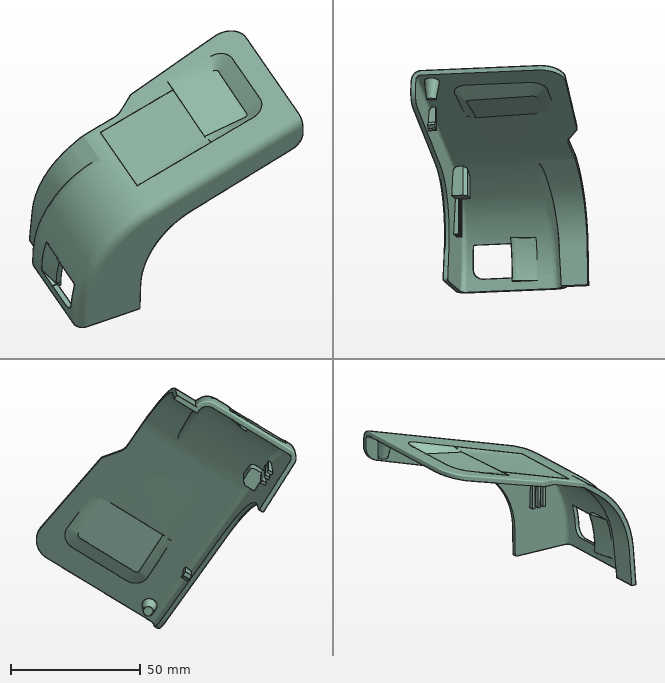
import cadquery as cq
import math

LENGTH = 98.8
WIDTH = 62.6
CREST_Z = 69.2
THICKNESS = 2.0
BACKING_DROP = 1.9
MARGIN = 19.8

SLOPE = math.radians(17.3)
BEND_RADIUS = 44.5
BACK_Y = LENGTH + MARGIN

WALL_DRAFT = math.radians(3.0)
WALL_FILLET = 4.0
RIDGE_FOOT_X = 18.1
RIDGE_DRAFT = math.radians(2.3)
RIDGE_FILLET = 5.9
PANEL_REACH_X = 44.5

PANEL_Y = 6.1
PANEL_Z = 15.5
PANEL_TILT = math.radians(4.4)
PANEL_END_TILT = math.radians(56.0)
PANEL_RADIUS = 36.7

EDGE_START = (9.6, -MARGIN)
EDGE_NECK = (9.6, 43.2)
EDGE_FLARE = (4.0, 51.3)
EDGE_BACK = (-1.0, LENGTH)
NECK_FILLET = 5.9
FLARE_FILLET = 1.5
BACK_CORNER_FILLET = 8.7
EDGE_ROUND = 0.5

WALL_FRONT_Y = 27.0
WALL_KNEE = (28.7, 34.4)
WALL_BACK = (LENGTH, 56.9)
WALL_KNEE_FILLET = 32.6
WALL_BACK_FILLET = 7.4
WALL_FOOT_FILLET = 0.8

POCKET_LEFT = 8.1
POCKET_RIGHT = 45.5
POCKET_BACK_Y = 89.9
POCKET_CORNER = 6.4
POCKET_WALL_RUN = 4.8
POCKET_TAIL_Y = 65.2
POCKET_END_Y = 33.9
FLOOR_BACK_Y = 84.0
FLOOR_CORNER = 1.5
FLOOR_DEPTH_LEFT = 2.8
FLOOR_DEPTH_RIGHT = 3.5
TAIL_DEPTH_LEFT = 0.1
TAIL_STEP = 0.05
TAIL_OVERLAP = 0.4
CUT_RISE = 0.3

WINDOW_LEFT = 39.5
WINDOW_RIGHT = 56.5
WINDOW_BOTTOM = 4.4
WINDOW_TOP = 19.0
WINDOW_LOW_CORNER = 4.4
WINDOW_HIGH_CORNER = 1.5
WINDOW_DEPTH = 5.9
WINDOW_TAPER = 14.0
RAMP_LEFT = 30.6
RAMP_DEPTH = 1.7
RAMP_RIGHT = 38.8
RAMP_END = 40.3
RAMP_START = 0.05
RAMP_BACKING_RIM = 1.0

BLOCK_Y = (20.1, 27.6)
BLOCK_BOTTOM = 33.3
BLOCK_REACH = 5.9
BLOCK_CORNER = 1.5
RIB_STARTS = (15.0, 17.3, 19.9)
RIB_WIDTH = 1.1
RIB_BOTTOM = 19.4
RIB_REACH = 2.0
POST_Y = (71.9, 73.8)
POST_BOTTOM = 50.4
POST_REACH = 3.0
CATCH_BOTTOM = 51.0
CATCH_SIZE = 1.2
BOSS_BACK_Y = 96.2
BOSS_DIAMETER = 3.8
BOSS_GROWTH = 0.3
BOSS_BOTTOM = 58.4
BOSS_TO_WALL = 4.9


def slope_z(y):
    """Height of the straight outer slope at a given Y."""
    return CREST_Z - math.tan(SLOPE) * (LENGTH - y)


def wall_x(z):
    """X of the outer face of the drafted side wall at height z."""
    return WIDTH - math.tan(WALL_DRAFT) * z


BEND_CENTER = (BEND_RADIUS, slope_z(BEND_RADIUS) - BEND_RADIUS / math.cos(SLOPE))
PANEL_CENTER = (
    PANEL_Y + PANEL_RADIUS * math.cos(PANEL_TILT),
    PANEL_Z - PANEL_RADIUS * math.sin(PANEL_TILT),
)


def on_arc(center, radius, angle):
    """Point on a bend; the angle is the tilt of its tangent away from vertical."""
    return (center[0] - radius * math.cos(angle), center[1] + radius * math.sin(angle))


def under_curve(center, radius, start_tilt, end_tilt):
    """Solid below a line-arc-line curve in YZ, spanning the full width."""
    start = on_arc(center, radius, start_tilt)
    middle = on_arc(center, radius, (start_tilt + end_tilt) / 2)
    end = on_arc(center, radius, end_tilt)
    foot = (start[0] - (start[1] + MARGIN) * math.tan(start_tilt), -MARGIN)
    back = (BACK_Y, end[1] + (BACK_Y - end[0]) / math.tan(end_tilt))
    return (
        cq.Workplane("YZ", origin=(-MARGIN, 0, 0))
        .moveTo(*foot)
        .lineTo(*start)
        .threePointArc(middle, end)
        .lineTo(*back)
        .lineTo(BACK_Y, -MARGIN)
        .close()
        .extrude(WIDTH + 2 * MARGIN)
    )


def drafted_block(left_foot, left_draft, inset):
    """Block between a leaning left face and the drafted side wall, both moved in by inset."""
    low, high = -MARGIN, LENGTH

    def left(z):
        return left_foot + inset + math.tan(left_draft) * z

    corners = [
        (left(low), low),
        (wall_x(low) - inset, low),
        (wall_x(high) - inset, high),
        (left(high), high),
    ]
    return cq.Workplane("XZ", origin=(0, BACK_Y, 0)).polyline(corners).close().extrude(BACK_Y + MARGIN)


def skin_edges(solid, side):
    """Edges where the outer skin meets one side face."""
    return solid.faces(side).edges("not(<Z or >Y)")


def body(inset):
    """Filled body whose skin lies inset below the outer surface."""
    skin = under_curve(BEND_CENTER, BEND_RADIUS - inset, 0, math.pi / 2 - SLOPE)
    panel = under_curve(PANEL_CENTER, PANEL_RADIUS - inset, PANEL_TILT, PANEL_END_TILT)
    ridge = skin.intersect(drafted_block(RIDGE_FOOT_X, RIDGE_DRAFT, inset))
    ridge = skin_edges(ridge, ">X").fillet(WALL_FILLET - inset)
    ridge = skin_edges(ridge, "<X").fillet(RIDGE_FILLET - inset)
    panel_span = cq.Workplane("XY").box(2 * PANEL_REACH_X, 2 * BACK_Y, 2 * BACK_Y)
    return ridge.union(skin.intersect(panel).intersect(panel_span))


def plan_trim():
    """Vertical prism with the outline of the part seen from above."""
    prism = (
        cq.Workplane("XY", origin=(0, 0, -MARGIN))
        .moveTo(*EDGE_START)
        .lineTo(*EDGE_NECK)
        .lineTo(*EDGE_FLARE)
        .lineTo(*EDGE_BACK)
        .lineTo(WIDTH + MARGIN, LENGTH)
        .lineTo(WIDTH + MARGIN, -MARGIN)
        .close()
        .extrude(LENGTH + 2 * MARGIN)
    )
    for (x, y), radius in (
        (EDGE_NECK, NECK_FILLET),
        (EDGE_FLARE, FLARE_FILLET),
        (EDGE_BACK, BACK_CORNER_FILLET),
    ):
        prism = prism.edges(cq.selectors.NearestToPointSelector((x, y, LENGTH / 2))).fillet(radius)
    return prism


def side_trim():
    """Prism along X with the lower outline of the side wall."""
    prism = (
        cq.Workplane("YZ", origin=(-MARGIN, 0, 0))
        .moveTo(-MARGIN, 0)
        .lineTo(WALL_FRONT_Y, 0)
        .lineTo(*WALL_KNEE)
        .lineTo(*WALL_BACK)
        .lineTo(LENGTH, LENGTH)
        .lineTo(-MARGIN, LENGTH)
        .close()
        .extrude(WIDTH + 2 * MARGIN)
    )
    middle_x = WIDTH / 2
    for point, radius in (
        ((WALL_FRONT_Y, 0), WALL_FOOT_FILLET),
        (WALL_KNEE, WALL_KNEE_FILLET),
        (WALL_BACK, WALL_BACK_FILLET),
    ):
        prism = prism.edges(cq.selectors.NearestToPointSelector((middle_x, *point))).fillet(radius)
    return prism


def u_outline(plane, left, right, tail, back, corner):
    """Closed outline with two rounded corners at the back."""
    skew = corner * (1 - math.sqrt(0.5))
    return (
        cq.Workplane(plane)
        .moveTo(left, tail)
        .lineTo(left, back - corner)
        .threePointArc((left + skew, back - skew), (left + corner, back))
        .lineTo(right - corner, back)
        .threePointArc((right - skew, back - skew), (right, back - corner))
        .lineTo(right, tail)
        .close()
        .val()
    )


def grip_pocket():
    """Tapered pocket whose floor rises to the slope, with a shallow tail on its right."""
    floor_left = POCKET_LEFT + POCKET_WALL_RUN
    floor_right = POCKET_RIGHT - POCKET_WALL_RUN
    tail_z = slope_z(POCKET_TAIL_Y)
    rim_plane = cq.Plane((0, POCKET_TAIL_Y, tail_z), (1, 0, 0), (0, -math.sin(SLOPE), math.cos(SLOPE)))
    rim = u_outline(
        rim_plane, POCKET_LEFT, POCKET_RIGHT, 0,
        (POCKET_BACK_Y - POCKET_TAIL_Y) / math.cos(SLOPE), POCKET_CORNER,
    )
    raised_rim = rim.translate(rim_plane.zDir * CUT_RISE)

    tail_depth_right = TAIL_DEPTH_LEFT + FLOOR_DEPTH_RIGHT - FLOOR_DEPTH_LEFT
    tail_left = cq.Vector(floor_left, POCKET_TAIL_Y, tail_z - TAIL_DEPTH_LEFT)
    tail_right = cq.Vector(floor_right, POCKET_TAIL_Y, tail_z - tail_depth_right)
    back_left = cq.Vector(floor_left, FLOOR_BACK_Y, slope_z(FLOOR_BACK_Y) - FLOOR_DEPTH_LEFT)
    across = tail_right - tail_left
    along = back_left - tail_left
    floor_plane = cq.Plane(tail_left, across, across.cross(along))
    floor = u_outline(floor_plane, 0, across.Length, 0, along.Length, FLOOR_CORNER)
    main = cq.Solid.makeLoft([raised_rim, rim, floor], True)

    def tail_section(y, left_depth, right_depth, edge_depth):
        z = slope_z(y)
        corners = [
            (floor_left, z + CUT_RISE),
            (floor_left, z - left_depth),
            (floor_right, z - right_depth),
            (POCKET_RIGHT, z - edge_depth),
            (POCKET_RIGHT, z + CUT_RISE),
        ]
        return cq.Wire.makePolygon([cq.Vector(x, y, height) for x, height in corners], close=True)

    deep_end = tail_section(POCKET_TAIL_Y + TAIL_OVERLAP, TAIL_DEPTH_LEFT, tail_depth_right, TAIL_STEP)
    shallow_end = tail_section(POCKET_END_Y, TAIL_STEP, TAIL_STEP, TAIL_STEP)
    tail = cq.Solid.makeLoft([deep_end, shallow_end], True)
    return cq.Workplane(main).union(cq.Workplane(tail))


def window():
    """Rounded through opening in the front, narrowing inwards."""
    low, high = WINDOW_LOW_CORNER, WINDOW_HIGH_CORNER
    return (
        cq.Workplane("XZ")
        .moveTo(WINDOW_LEFT, WINDOW_BOTTOM)
        .lineTo(WINDOW_RIGHT - low, WINDOW_BOTTOM)
        .radiusArc((WINDOW_RIGHT, WINDOW_BOTTOM + low), -low)
        .lineTo(WINDOW_RIGHT, WINDOW_TOP - high)
        .radiusArc((WINDOW_RIGHT - high, WINDOW_TOP), -high)
        .lineTo(WINDOW_LEFT, WINDOW_TOP)
        .close()
        .extrude(-WINDOW_DEPTH, taper=WINDOW_TAPER)
    )


def front_curve(inset, z):
    """Y of the front skin at height z, moved in by inset."""
    rise = max(z - BEND_CENTER[1], 0)
    return BEND_RADIUS - math.sqrt((BEND_RADIUS - inset) ** 2 - rise**2)


def front_slice(x, near, far, low, high):
    """YZ section lying between two insets of the front skin."""
    middle = (low + high) / 2

    def curve(inset, start, end):
        points = [cq.Vector(x, front_curve(inset, z), z) for z in (start, middle, end)]
        return cq.Edge.makeThreePointArc(*points)

    outside = curve(near, low, high)
    inside = curve(far, high, low)
    top = cq.Edge.makeLine(outside.endPoint(), inside.startPoint())
    bottom = cq.Edge.makeLine(inside.endPoint(), outside.startPoint())
    return cq.Wire.assembleEdges([outside, top, inside, bottom])


def ramp(near, far, rim):
    """Wedge following the front skin and sinking towards the window."""
    low, high = WINDOW_BOTTOM - rim, WINDOW_TOP + rim
    shallow = front_slice(RAMP_LEFT, near, far, low, high)
    deep = front_slice(RAMP_RIGHT, near, far + RAMP_DEPTH, low, high)
    shoulder = front_slice(RAMP_END, near, far + RAMP_DEPTH, low, high)
    return cq.Workplane(cq.Solid.makeLoft([shallow, deep, shoulder], True))


def wall_rib(y_range, bottom, reach):
    """Upright rib standing off the inside of the side wall and running up into the skin."""
    x_left = wall_x(bottom) - THICKNESS - reach
    rib = cq.Workplane("XY", origin=(x_left, y_range[0], bottom))
    return rib.box(WIDTH - x_left, y_range[1] - y_range[0], CREST_Z, centered=False)


def fixings():
    """Ribs, block, catch post and boss below the skin."""
    parts = wall_rib(BLOCK_Y, BLOCK_BOTTOM, BLOCK_REACH)
    parts = parts.edges("|Z and <X and >Y").chamfer(BLOCK_CORNER)
    parts = parts.edges("|Z and <X and <Y").fillet(BLOCK_CORNER)
    for start in RIB_STARTS:
        parts = parts.union(wall_rib((start, start + RIB_WIDTH), RIB_BOTTOM, RIB_REACH))
    parts = parts.union(wall_rib(POST_Y, POST_BOTTOM, POST_REACH))

    catch_x = wall_x(POST_BOTTOM) - THICKNESS - POST_REACH
    catch = (
        cq.Workplane("YZ", origin=(catch_x, 0, 0))
        .moveTo(POST_Y[1], CATCH_BOTTOM)
        .lineTo(POST_Y[1] + CATCH_SIZE, CATCH_BOTTOM + CATCH_SIZE)
        .lineTo(POST_Y[1], CATCH_BOTTOM + 2 * CATCH_SIZE)
        .close()
        .extrude(POST_REACH + THICKNESS / 2)
    )
    boss_x = wall_x(CREST_Z) - THICKNESS - BOSS_TO_WALL
    boss_height = CREST_Z - BOSS_BOTTOM
    boss_ends = []
    for rise in (0, boss_height):
        radius = (BOSS_DIAMETER + BOSS_GROWTH * rise) / 2
        center = cq.Vector(boss_x, BOSS_BACK_Y - radius, BOSS_BOTTOM + rise)
        boss_ends.append(cq.Wire.makeCircle(radius, center, cq.Vector(0, 0, 1)))
    boss = cq.Workplane(cq.Solid.makeLoft(boss_ends, True))
    return parts.union(catch).union(boss)


outer = body(0)
cavity = body(THICKNESS)
pocket = grip_pocket()

shell = outer.cut(cavity)
shell = shell.union(pocket.translate((0, 0, -BACKING_DROP)))
shell = shell.union(ramp(THICKNESS / 2, THICKNESS, RAMP_BACKING_RIM))
shell = shell.union(fixings().intersect(outer))
shell = shell.intersect(plan_trim()).intersect(side_trim())

rim_y = (EDGE_FLARE[1] + LENGTH) / 2
rim_point = (EDGE_FLARE[0], rim_y, slope_z(rim_y))
shell = shell.edges(cq.selectors.NearestToPointSelector(rim_point)).fillet(EDGE_ROUND)

result = shell.cut(pocket).cut(ramp(-CUT_RISE, RAMP_START, 0)).cut(window())